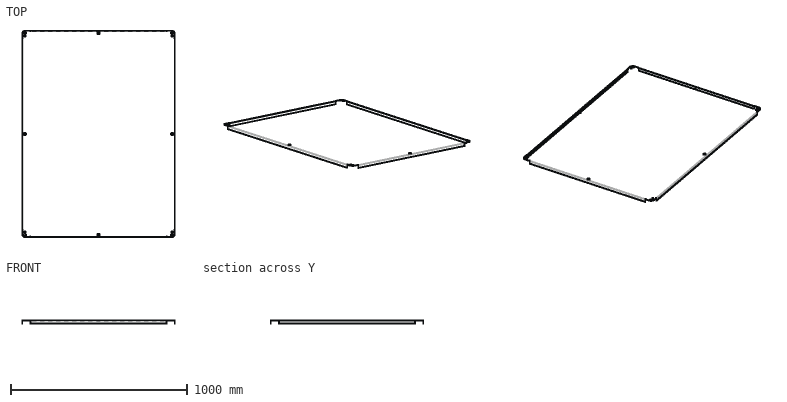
import cadquery as cq

width = 868.0
length = 1173.0
height = 20.0
sheet = 2.0
inner_bend = 2.0
outer_bend = inner_bend + sheet

side_flange_setback = 43.0
end_flange_setback = 47.0
corner_cut = 12.0

mounting_diameter = 13.0
mounting_side_inset = 15.0
mounting_end_inset = 13.0
small_diameter = 8.0
small_end_inset = 29.0


def make_plate():
    """Flat sheet with chamfered corners."""
    blank = cq.Workplane("XY").box(width, length, sheet, centered=(True, True, False))
    return blank.edges("|Z").chamfer(corner_cut).translate((0, 0, height - sheet))


def make_bend_zone(span, edge_distance):
    """Full-height block along the +X edge, as wide as the bend."""
    strip = cq.Workplane("XY").box(outer_bend, span, height, centered=(False, True, False))
    return strip.translate((edge_distance - outer_bend, 0, 0))


def make_rounded_block(span, half_width, top, radius):
    """Block along Y whose upper long edges are rounded."""
    block = cq.Workplane("XZ").rect(2 * half_width, 2 * top).extrude(span / 2, both=True)
    return block.edges("|Y and >Z").fillet(radius)


def make_flange(span, edge_distance):
    """Rounded bend and downward lip along the +X edge of the sheet."""
    outer = make_rounded_block(span, edge_distance, height, outer_bend)
    inner = make_rounded_block(span, edge_distance - sheet, height - sheet, inner_bend)
    return outer.cut(inner).intersect(make_bend_zone(span, edge_distance))


def vertical_holes(points, diameter):
    """Cutting cylinders through the full tray height."""
    return cq.Workplane("XY").pushPoints(points).circle(diameter / 2).extrude(height)


result = make_plate()
side_span = length - 2 * side_flange_setback
end_span = width - 2 * end_flange_setback
z_axis = ((0, 0, 0), (0, 0, 1))
for angle, span, edge_distance in (
    (0, side_span, width / 2),
    (90, end_span, length / 2),
    (180, side_span, width / 2),
    (270, end_span, length / 2),
):
    bend_zone = make_bend_zone(span, edge_distance).rotate(*z_axis, angle)
    flange = make_flange(span, edge_distance).rotate(*z_axis, angle)
    result = result.cut(bend_zone).union(flange)

hole_x = width / 2 - mounting_side_inset
hole_y = length / 2 - mounting_end_inset
mounting_points = [(x * hole_x, y * hole_y) for x in (-1, 0, 1) for y in (-1, 0, 1) if x or y]
result = result.cut(vertical_holes(mounting_points, mounting_diameter))

small_y = length / 2 - small_end_inset
small_points = [(x * hole_x, y * small_y) for x in (-1, 1) for y in (-1, 1)]
result = result.cut(vertical_holes(small_points, small_diameter))